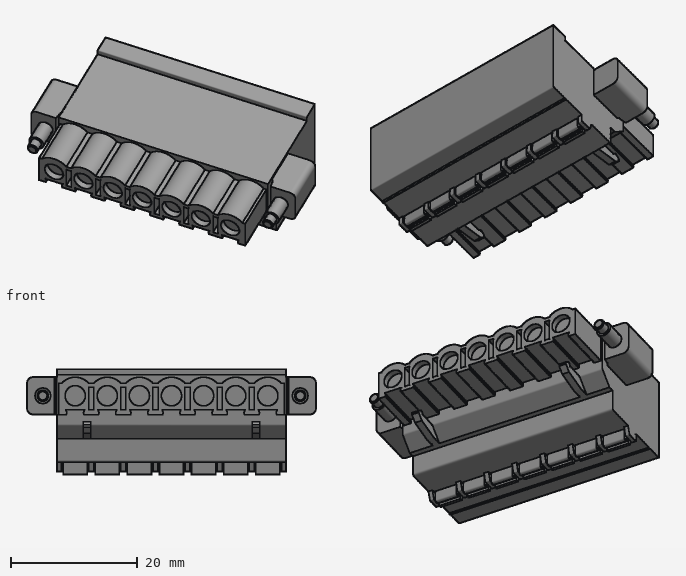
import cadquery as cq


pole_count = 7
pitch = 5.07

total_width = 45.7
total_depth = 26.6
total_height = 16.7
housing_width = 36.2
back_y = total_depth / 2
mating_y = -total_depth / 2
housing_front_y = -5.05
lower_front_y = -1.75
roof_z = 15.8
floor_z = 1.95
ledge_z = 5.65
slope_top_z = 7.8
slope_start_y = -2.75
rim_depth = 3.15
rim_radius = 0.2
floor_back_radius = 0.25
floor_front_radius = 0.35
slope_edge_radius = 0.4
bead_radius = 0.2

plug_half_width = 17.85
plug_bottom_z = 10.25
valley_z = 14.5
hole_z = 12.5
arch_radius = 2.93
hole_radius = 1.6
hole_depth = 1.15
slot_width = 0.82
slot_top_z = 13.85
foot_bottom_z = 9.5
foot_barb_z = 9.85
foot_neck_half = 1.05
foot_barb_half = 1.25
foot_bottom_half = 1.15

flange_depth = 7.75
flange_bottom_z = 9.5
flange_top_z = 15.45
flange_radius = 1.0
relief_depth = 1.6
relief_inner_gap = 0.25
relief_outer_gap = 0.45
relief_shoulder = 0.25
screw_x = 20.35
shank_radius = 1.25
shank_length = 3.6
tip_radius = 0.85
tip_length = 1.65
tip_chamfer = 0.2

lever_x = 13.35
lever_width = 1.25

rib_bottom_z = 0.5
rib_back_y = 5.85
rib_front_top_y = 3.25
rib_front_bottom_y = 3.75
rib_radius = 0.15
rib_width = 0.82
end_rib_width = 0.75
latch_width = 3.85
latch_back_y = 5.7
latch_front_y = 3.75
prong_width = 0.65
prong_radius = 0.27

pole_xs = [(i - (pole_count - 1) / 2) * pitch for i in range(pole_count)]
boundary_xs = [(i - pole_count / 2) * pitch for i in range(pole_count + 1)]
gap_xs = boundary_xs[1:-1]


def along_x(points, width, x_center=0):
    """Extrude a (y, z) outline over a width centred on x_center."""
    outline = cq.Workplane("YZ").polyline(points).close()
    return outline.extrude(width / 2, both=True).translate((x_center, 0, 0))


def block(x_range, y_range, z_range):
    """Box spanning the given low and high limits."""
    lows, highs = zip(x_range, y_range, z_range)
    size = [high - low for low, high in zip(lows, highs)]
    return cq.Workplane("XY").box(*size, centered=False).translate(lows)


def mating_plane(y):
    """Sketch plane with X right and Z up, facing the mating side."""
    return cq.Workplane("XZ", origin=(0, y, 0))


def make_housing():
    rim_front_y = back_y - rim_depth
    body = along_x([
        (back_y, floor_z),
        (back_y, total_height),
        (rim_front_y, total_height),
        (rim_front_y, roof_z),
        (housing_front_y, roof_z),
        (housing_front_y, slope_top_z),
        (slope_start_y, ledge_z),
        (lower_front_y, ledge_z),
        (lower_front_y, floor_z),
    ], housing_width)

    def round_edge(solid, y, z, radius):
        edge = cq.selectors.NearestToPointSelector((0, y, z))
        return solid.edges("|X").edges(edge).fillet(radius)

    body = round_edge(body, rim_front_y, total_height, rim_radius)
    body = round_edge(body, back_y, floor_z, floor_back_radius)
    body = round_edge(body, lower_front_y, floor_z, floor_front_radius)
    body = round_edge(body, housing_front_y, slope_top_z, slope_edge_radius)
    bead = (
        cq.Workplane("YZ", origin=(-housing_width / 2, 0, 0))
        .center(rim_front_y, floor_z)
        .circle(bead_radius)
        .extrude(housing_width)
    )
    return body.union(bead)


def make_foot(x):
    """Barbed rail under the plug at a pole boundary."""
    half_outline = [
        (foot_neck_half, plug_bottom_z),
        (foot_barb_half, foot_barb_z),
        (foot_bottom_half, foot_bottom_z),
    ]
    right = [(x + dx, z) for dx, z in half_outline]
    left = [(x - dx, z) for dx, z in reversed(half_outline)]
    length = housing_front_y - mating_y
    return mating_plane(housing_front_y).polyline(right + left).close().extrude(length)


def make_plug():
    plug_length = housing_front_y - mating_y
    y_range = (mating_y, housing_front_y)
    plug = block((-plug_half_width, plug_half_width), y_range, (plug_bottom_z, valley_z))
    above_valleys = block(
        (-plug_half_width, plug_half_width), y_range, (valley_z, total_height)
    )
    for x in pole_xs:
        arch = mating_plane(housing_front_y).center(x, hole_z)
        arch = arch.circle(arch_radius).extrude(plug_length)
        plug = plug.union(arch.intersect(above_valleys))

    for x in boundary_xs:
        plug = plug.union(make_foot(x))
    plug = plug.intersect(
        block((-plug_half_width, plug_half_width), y_range, (foot_bottom_z, total_height))
    )

    for x in gap_xs:
        slot_range = (x - slot_width / 2, x + slot_width / 2)
        plug = plug.cut(block(slot_range, y_range, (plug_bottom_z, slot_top_z)))
    holes = mating_plane(mating_y + hole_depth).pushPoints([(x, hole_z) for x in pole_xs])
    return plug.cut(holes.circle(hole_radius).extrude(hole_depth))


def make_flange():
    """Right-hand flange with its screw."""
    inner_x = housing_width / 2
    flange = block(
        (inner_x, total_width / 2),
        (housing_front_y, housing_front_y + flange_depth),
        (flange_bottom_z, flange_top_z),
    )
    flange = flange.edges("|Y and >X").fillet(flange_radius)

    relief_y = housing_front_y + relief_depth
    relief = (
        cq.Workplane("XY", origin=(0, 0, flange_bottom_z))
        .moveTo(inner_x, housing_front_y)
        .lineTo(inner_x, relief_y)
        .lineTo(inner_x + relief_inner_gap, relief_y - relief_shoulder)
        .lineTo(inner_x + relief_outer_gap, housing_front_y)
        .close()
        .extrude(flange_top_z - flange_bottom_z)
    )
    flange = flange.cut(relief)

    screw_axis = (screw_x, hole_z)
    shank = mating_plane(housing_front_y).center(*screw_axis)
    shank = shank.circle(shank_radius).extrude(shank_length)
    tip = mating_plane(housing_front_y - shank_length).center(*screw_axis)
    tip = tip.circle(tip_radius).extrude(tip_length)
    tip = tip.faces("<Y").chamfer(tip_chamfer)
    return flange.union(shank).union(tip)


def make_lever(x):
    """Hooked release lever growing out of the sloped face."""
    return along_x([
        (slope_start_y, ledge_z),
        (-4.55, ledge_z),
        (-8.4, 6.55),
        (-9.4, 7.5),
        (-9.4, 7.85),
        (-8.65, 8.35),
        (-8.35, 8.35),
        (-8.0, 7.9),
        (-5.4, slope_top_z),
        (housing_front_y + slope_edge_radius, slope_top_z),
    ], lever_width, x)


def make_rib(x_low, x_high):
    """Tapered rib standing between two latches."""
    top_z = floor_z + bead_radius
    rib = along_x([
        (rib_back_y, top_z),
        (rib_back_y, rib_bottom_z),
        (rib_front_bottom_y, rib_bottom_z),
        (rib_front_top_y, floor_z),
        (rib_front_top_y, top_z),
    ], x_high - x_low, (x_low + x_high) / 2)
    return rib.faces("<Z").edges("|X").fillet(rib_radius)


def make_latch(x):
    """Wide latch ending in two prongs."""
    x_range = (x - latch_width / 2, x + latch_width / 2)
    latch = block(x_range, (latch_front_y, latch_back_y), (0, floor_z + bead_radius))
    latch = latch.faces("<Z").edges("|X").fillet(prong_radius)
    notch_range = (latch_front_y + prong_width, latch_back_y - prong_width)
    return latch.cut(block(x_range, notch_range, (0, rib_bottom_z)))


result = make_housing().union(make_plug())

flange = make_flange()
result = result.union(flange).union(flange.mirror("YZ"))

for x in (-lever_x, lever_x):
    result = result.union(make_lever(x))

for x in pole_xs:
    result = result.union(make_latch(x))
for x in gap_xs:
    result = result.union(make_rib(x - rib_width / 2, x + rib_width / 2))
housing_side_x = housing_width / 2
result = result.union(make_rib(-housing_side_x, end_rib_width - housing_side_x))
result = result.union(make_rib(housing_side_x - end_rib_width, housing_side_x))